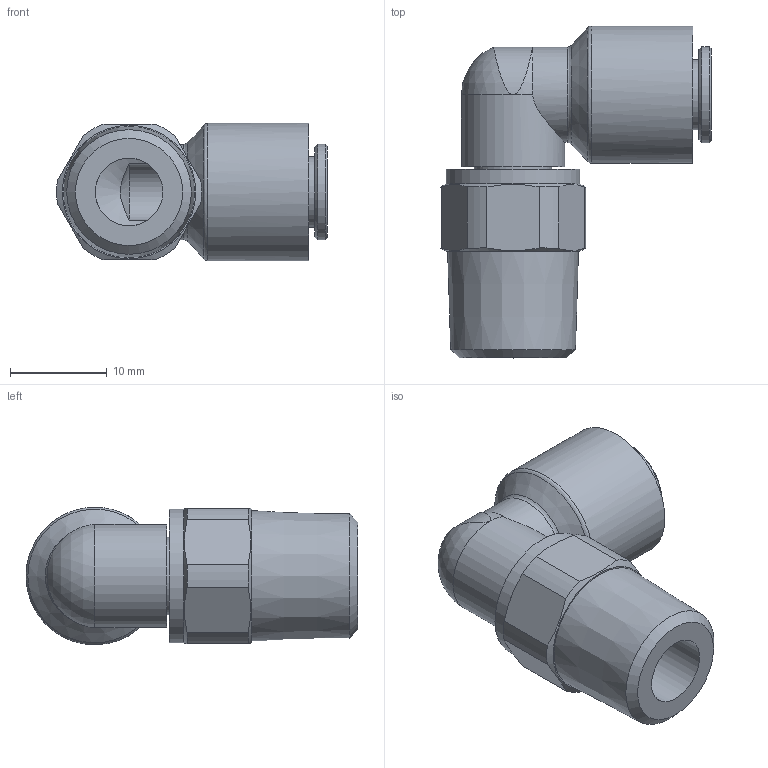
import cadquery as cq
import math


stem_radius = 5.33
stem_end = 7.43
branch_radius = 4.92
crown_height = 4.93

socket_radius = 7.1
shoulder_start = 5.84
shoulder_end = 7.86
shoulder_fillet = 0.6
socket_end = 18.55

sleeve_neck_radius = 3.63
flange_radius = 4.95
flange_start = 19.2
flange_end = 20.5
flange_inner_chamfer = 0.3
flange_outer_chamfer = 0.2

neck_radius = 4.0
collar_start = 7.7
collar_radius = 6.9

nut_start = 9.2
nut_end = 16.2
across_flats = 14.0
nut_corner_radius = 7.5
nut_end_radius = 6.9
nut_chamfer_angle = 30
nut_chamfer_length = (nut_corner_radius - nut_end_radius) * math.tan(math.radians(nut_chamfer_angle))

thread_end = 27.2
gauge_radius = 13.157 / 2
gauge_position = 22.05
taper_per_side = 1 / 32
tip_chamfer_length = 0.83
tip_radius = 5.54

stem_bore_radius = 3.5
branch_bore_radius = 2.95
drill_tip_depth = 1.316
drill_tip_slope = branch_bore_radius / drill_tip_depth


def revolve_about_x(profile):
    """Turn (x, radius) points into a solid of revolution about the X axis."""
    return cq.Workplane("XY").polyline(profile).close().revolve(360, (0, 0, 0), (1, 0, 0))


def revolve_about_stem(profile):
    """Turn (radius, distance along -Y) points into a solid of revolution about the Y axis."""
    points = [(radius, -distance) for radius, distance in profile]
    return cq.Workplane("XY").polyline(points).close().revolve(360, (0, 0, 0), (0, 1, 0))


def stem_cylinder(radius, start, end):
    return revolve_about_stem([(0, start), (radius, start), (radius, end), (0, end)])


def elbow_crown():
    """Half ball closing the stem, flattened by a shallower arch that runs along X."""
    arch = (
        cq.Workplane("YZ")
        .moveTo(0, -stem_radius)
        .threePointArc((crown_height, 0), (0, stem_radius))
        .close()
        .extrude(stem_radius, both=True)
    )
    half_ball = (
        cq.Workplane("XY")
        .lineTo(stem_radius, 0)
        .radiusArc((0, stem_radius), -stem_radius)
        .close()
        .revolve(360, (0, 0, 0), (0, 1, 0))
    )
    return half_ball.intersect(arch)


def socket_body():
    """Branch pipe and tube socket, joined by a conical shoulder with rounded ends."""
    body = revolve_about_x([
        (0, 0),
        (0, branch_radius),
        (shoulder_start, branch_radius),
        (shoulder_end, socket_radius),
        (socket_end, socket_radius),
        (socket_end, 0),
    ])
    margin = 0.01
    shoulder_edges = cq.selectors.BoxSelector(
        (shoulder_start - margin, -socket_radius, -socket_radius),
        (shoulder_end + margin, socket_radius, socket_radius),
    )
    return body.edges(shoulder_edges).edges("%CIRCLE").fillet(shoulder_fillet)


def release_sleeve():
    return revolve_about_x([
        (socket_end, 0),
        (socket_end, sleeve_neck_radius),
        (flange_start, sleeve_neck_radius),
        (flange_start, flange_radius - flange_inner_chamfer),
        (flange_start + flange_inner_chamfer, flange_radius),
        (flange_end - flange_outer_chamfer, flange_radius),
        (flange_end, flange_radius - flange_outer_chamfer),
        (flange_end, 0),
    ])


def hexagon_nut():
    """Hexagon with flats facing +-Z, its corners turned round and both ends chamfered."""
    across_corners = across_flats / math.cos(math.pi / 6)
    hexagon = (
        cq.Workplane("XZ", origin=(0, -nut_start, 0))
        .polygon(6, across_corners)
        .extrude(nut_end - nut_start)
    )
    turned_envelope = revolve_about_stem([
        (0, nut_start),
        (nut_end_radius, nut_start),
        (nut_corner_radius, nut_start + nut_chamfer_length),
        (nut_corner_radius, nut_end - nut_chamfer_length),
        (nut_end_radius, nut_end),
        (0, nut_end),
    ])
    return hexagon.intersect(turned_envelope)


def thread_radius(distance):
    return gauge_radius + (gauge_position - distance) * taper_per_side


def thread_blank():
    chamfer_start = thread_end - tip_chamfer_length
    return revolve_about_stem([
        (0, nut_end),
        (thread_radius(nut_end), nut_end),
        (thread_radius(chamfer_start), chamfer_start),
        (tip_radius, thread_end),
        (0, thread_end),
    ])


def stem_bore():
    """Bore along the stem; its tip cone has the branch bore radius at the elbow centre."""
    cone_base = (stem_bore_radius - branch_bore_radius) / drill_tip_slope
    cone_apex = -drill_tip_depth
    return revolve_about_stem([
        (0, cone_apex),
        (stem_bore_radius, cone_base),
        (stem_bore_radius, thread_end),
        (0, thread_end),
    ])


def branch_bore():
    """Bore from the release sleeve to the stem axis, with its tip cone beyond the axis."""
    return revolve_about_x([
        (-drill_tip_depth, 0),
        (0, branch_bore_radius),
        (flange_end, branch_bore_radius),
        (flange_end, 0),
    ])


elbow = elbow_crown().union(stem_cylinder(stem_radius, 0, stem_end)).union(socket_body())
swivel = stem_cylinder(neck_radius, stem_end, collar_start).union(
    stem_cylinder(collar_radius, collar_start, nut_start)
)
connector = hexagon_nut().union(thread_blank())

result = (
    elbow.union(release_sleeve())
    .union(swivel)
    .union(connector)
    .cut(stem_bore())
    .cut(branch_bore())
)